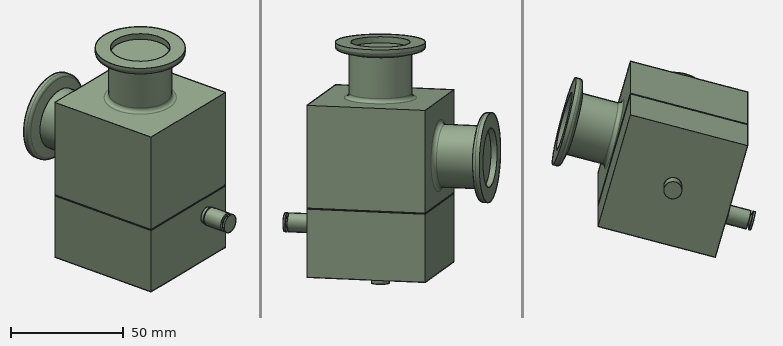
import cadquery as cq
import math


BODY_SIDE = 54.0
UPPER_BLOCK_HEIGHT = 46.5
LOWER_BLOCK_HEIGHT = 31.0
JOINT_BEVEL = 0.25
BODY_TOP = 25.0
BODY_HALF = BODY_SIDE / 2
JOINT_Z = BODY_TOP - UPPER_BLOCK_HEIGHT
BODY_BOTTOM = JOINT_Z - LOWER_BLOCK_HEIGHT

PORT_REACH = 50.0
FLANGE_RADIUS = 20.0
TUBE_RADIUS = 14.0
BORE_RADIUS = 13.15
BORE_DEPTH = 2.8
RIM_THICKNESS = 3.0
RIM_ROUNDING = 1.5
CONE_ANGLE = 15.0
CONE_HEIGHT = (FLANGE_RADIUS - TUBE_RADIUS) * math.tan(math.radians(CONE_ANGLE))
ROOT_FILLET = 2.0

FITTING_Y = 13.0
FITTING_Z = -30.6
COLLAR_RADIUS = 3.85
COLLAR_LENGTH = 1.75
SLEEVE_RADIUS = 4.25
SLEEVE_LENGTH = 9.6
NECK_BASE_RADIUS = 3.0
NECK_TIP_RADIUS = 2.5
NECK_LENGTH = 1.1
RELEASE_RING_LENGTH = 0.9

STUB_RADIUS = 4.0
STUB_LENGTH = 6.0


def make_block(bottom, height, joint_face):
    """Square block whose edges around the joint face are bevelled."""
    return (
        cq.Workplane("XY", origin=(0, 0, bottom))
        .rect(BODY_SIDE, BODY_SIDE)
        .extrude(height)
        .faces(joint_face)
        .chamfer(JOINT_BEVEL)
    )


def make_body():
    """Two blocks whose bevels form a V-groove around the joint."""
    upper_block = make_block(JOINT_Z, UPPER_BLOCK_HEIGHT, "<Z")
    lower_block = make_block(BODY_BOTTOM, LOWER_BLOCK_HEIGHT, ">Z")
    return upper_block.union(lower_block)


def make_port(body_face):
    """Port along +Z, its root flaring into a body face at height body_face."""
    rim_bottom = PORT_REACH - RIM_THICKNESS
    cone_bottom = rim_bottom - CONE_HEIGHT
    flare_top = body_face + ROOT_FILLET
    bore_floor = PORT_REACH - BORE_DEPTH
    flare_offset = ROOT_FILLET * (1 - math.sqrt(0.5))
    port = (
        cq.Workplane("XZ")
        .moveTo(0, body_face)
        .lineTo(TUBE_RADIUS + ROOT_FILLET, body_face)
        .threePointArc(
            (TUBE_RADIUS + flare_offset, body_face + flare_offset),
            (TUBE_RADIUS, flare_top),
        )
        .lineTo(TUBE_RADIUS, cone_bottom)
        .lineTo(FLANGE_RADIUS, rim_bottom)
        .lineTo(FLANGE_RADIUS, PORT_REACH)
        .lineTo(BORE_RADIUS, PORT_REACH)
        .lineTo(BORE_RADIUS, bore_floor)
        .lineTo(0, bore_floor)
        .close()
        .revolve(360, (0, 0, 0), (0, 1, 0))
    )
    lower_rim_edge = port.edges("%CIRCLE and (not >Z)").edges(cq.selectors.RadiusNthSelector(-1))
    return lower_rim_edge.fillet(RIM_ROUNDING)


def make_fitting():
    """Collar, sleeve, tapered neck and release ring in a row along +X."""
    sleeve_start = BODY_HALF + COLLAR_LENGTH
    neck_start = sleeve_start + SLEEVE_LENGTH
    ring_start = neck_start + NECK_LENGTH
    ring_end = ring_start + RELEASE_RING_LENGTH
    profile = [
        (BODY_HALF, 0),
        (BODY_HALF, COLLAR_RADIUS),
        (sleeve_start, COLLAR_RADIUS),
        (sleeve_start, SLEEVE_RADIUS),
        (neck_start, SLEEVE_RADIUS),
        (neck_start, NECK_BASE_RADIUS),
        (ring_start, NECK_TIP_RADIUS),
        (ring_start, SLEEVE_RADIUS),
        (ring_end, SLEEVE_RADIUS),
        (ring_end, 0),
    ]
    return (
        cq.Workplane("XZ", origin=(0, FITTING_Y, FITTING_Z))
        .polyline(profile)
        .close()
        .revolve(360, (0, 0, 0), (1, 0, 0))
    )


def make_stub():
    """Round stub hanging from the underside of the body."""
    return (
        cq.Workplane("XY", origin=(0, 0, BODY_BOTTOM))
        .circle(STUB_RADIUS)
        .extrude(-STUB_LENGTH)
    )


top_port = make_port(BODY_TOP)
side_port = make_port(BODY_HALF).rotate((0, 0, 0), (0, 1, 0), -90)

result = (
    make_body()
    .union(top_port)
    .union(side_port)
    .union(make_fitting())
    .union(make_stub())
)